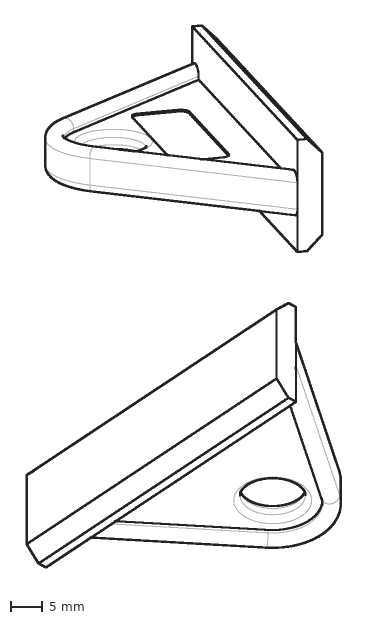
import cadquery as cq
import math

plate_length = 60.0
plate_height = 19.0
plate_thickness = 4.2
back_chamfer = 2.6

total_depth = 37.2
nose_radius = 11.0
web_thickness = 3.3
rim_flat_height = 4.5
bead_radius = 1.5
eye_y = nose_radius - total_depth

eye_diameter = 10.5
eye_fillet = 1.0

recess_length = 25.2
recess_width = 9.6
recess_y = -15.0
recess_corner = 1.5
recess_depth = 0.3

corner_x = plate_length / 2
corner_rise = -plate_thickness - eye_y
corner_distance = math.hypot(corner_x, corner_rise)
normal_angle = math.atan2(corner_rise, corner_x) - math.acos(nose_radius / corner_distance)
normal_x = math.cos(normal_angle)
normal_y = math.sin(normal_angle)
side_length = math.sqrt(corner_distance**2 - nose_radius**2)
side_reach = side_length + 4 * bead_radius


def side_path(inset):
    """Open path along one side, round the nose and back, inset from the outer edge."""
    radius = nose_radius - inset
    tangent_x = radius * normal_x
    tangent_y = eye_y + radius * normal_y
    end_x = tangent_x - side_reach * normal_y
    end_y = tangent_y + side_reach * normal_x
    return (
        cq.Workplane("XY")
        .moveTo(-end_x, end_y)
        .lineTo(-tangent_x, tangent_y)
        .threePointArc((0, eye_y - radius), (tangent_x, tangent_y))
        .lineTo(end_x, end_y)
    )


def make_plate():
    return (
        cq.Workplane("XY")
        .box(plate_length, plate_thickness, plate_height)
        .translate((0, -plate_thickness / 2, 0))
        .faces(">Y")
        .edges("|X")
        .chamfer(back_chamfer)
    )


def make_bead(z):
    path = side_path(bead_radius).wire().translate((0, 0, z))
    start = path.val().startPoint()
    direction = path.val().tangentAt(0)
    profile_plane = cq.Plane(origin=start, xDir=(0, 0, 1), normal=direction)
    return cq.Workplane(profile_plane).circle(bead_radius).sweep(path)


def make_rim_band():
    half_height = rim_flat_height / 2
    outer = side_path(0).close().extrude(half_height, both=True)
    inner = side_path(2 * bead_radius).close().extrude(half_height, both=True)
    return outer.cut(inner)


def make_web():
    web = side_path(0).close().extrude(web_thickness / 2, both=True)
    eye = cq.Workplane("XY").center(0, eye_y).circle(eye_diameter / 2)
    web = web.cut(eye.extrude(web_thickness, both=True))
    eye_edges = cq.selectors.RadiusNthSelector(0)
    web = web.edges("%CIRCLE").edges(eye_edges).fillet(eye_fillet)
    recess = (
        cq.Workplane("XY", origin=(0, recess_y, web_thickness / 2 - recess_depth))
        .rect(recess_length, recess_width)
        .extrude(recess_depth)
        .edges("|Z")
        .fillet(recess_corner)
    )
    web = web.cut(recess).union(make_rim_band())
    for z in (-rim_flat_height / 2, rim_flat_height / 2):
        web = web.union(make_bead(z))
    front_space = (
        cq.Workplane("XY")
        .box(2 * plate_length, total_depth, plate_height)
        .translate((0, -plate_thickness - total_depth / 2, 0))
    )
    return web.intersect(front_space)


result = make_plate().union(make_web())